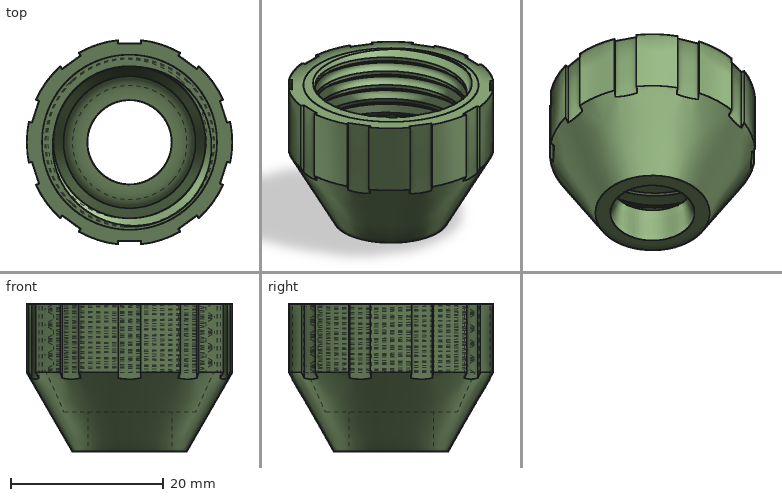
import cadquery as cq
import math

OUTER_RADIUS = 27 / 2
TOTAL_HEIGHT = 19.39
BARREL_HEIGHT = 9.0
TIP_RADIUS = 7.5
OUTLET_RADIUS = 11.05 / 2

CAVITY_TOP_RADIUS = 11.0
CAVITY_FLOOR_RADIUS = 8.67
FLOOR_Z = 5.25

NOTCH_COUNT = 10
NOTCH_WIDTH = 3.0
NOTCH_DEPTH = 0.5

INSERT_RADIUS = 23.0 / 2
THREAD_MINOR_RADIUS = 10
THREAD_MAJOR_RADIUS = 11.12
THREAD_PITCH = 2.0
ROOT_FLAT = 0.15
CREST_FLAT = 0.49
THREAD_ANGLE = -55

SHOULDER_Z = TOTAL_HEIGHT - BARREL_HEIGHT


def make_housing():
    """Nut body: barrel over a cone, hollowed for the insert, the cavity and the outlet."""
    body = (
        cq.Workplane("XZ")
        .moveTo(OUTLET_RADIUS, 0)
        .lineTo(TIP_RADIUS, 0)
        .lineTo(OUTER_RADIUS, SHOULDER_Z)
        .lineTo(OUTER_RADIUS, TOTAL_HEIGHT)
        .lineTo(INSERT_RADIUS, TOTAL_HEIGHT)
        .lineTo(INSERT_RADIUS, SHOULDER_Z)
        .lineTo(CAVITY_TOP_RADIUS, SHOULDER_Z)
        .lineTo(CAVITY_FLOOR_RADIUS, FLOOR_Z)
        .lineTo(OUTLET_RADIUS, FLOOR_Z)
        .close()
        .revolve(360, (0, 0, 0), (0, 1, 0))
    )
    notch = (
        cq.Workplane("XY")
        .box(2 * NOTCH_DEPTH, NOTCH_WIDTH, TOTAL_HEIGHT, centered=(True, True, False))
        .translate((OUTER_RADIUS, 0, 0))
    )
    for i in range(NOTCH_COUNT):
        angle = 90 + i * 360 / NOTCH_COUNT
        body = body.cut(notch.rotate((0, 0, 0), (0, 0, 1), angle))
    return body


def make_thread_groove():
    """Helical V groove, long enough to run out through both ends of the insert."""
    clearance = 0.14
    mouth_half = (THREAD_PITCH - CREST_FLAT) / 2
    root_half = ROOT_FLAT / 2
    flank_slope = (mouth_half - root_half) / (THREAD_MAJOR_RADIUS - THREAD_MINOR_RADIUS)
    inner_half = mouth_half + clearance * flank_slope
    inner_radius = THREAD_MINOR_RADIUS - clearance
    runout_turns = 1
    turns = math.ceil(BARREL_HEIGHT / THREAD_PITCH) + 2 * runout_turns
    length = turns * THREAD_PITCH
    helix = cq.Wire.makeHelix(THREAD_PITCH, length, THREAD_MINOR_RADIUS)
    groove = (
        cq.Workplane("XZ")
        .moveTo(inner_radius, -inner_half)
        .lineTo(THREAD_MAJOR_RADIUS, -root_half)
        .lineTo(THREAD_MAJOR_RADIUS, root_half)
        .lineTo(inner_radius, inner_half)
        .close()
        .sweep(cq.Workplane(helix), isFrenet=True)
    )
    start_z = TOTAL_HEIGHT + runout_turns * THREAD_PITCH - length
    return groove.rotate((0, 0, 0), (0, 0, 1), THREAD_ANGLE).translate((0, 0, start_z))


def make_insert():
    """Ring with an internal thread, flush with the top of the housing."""
    ring = (
        cq.Workplane("XY", origin=(0, 0, SHOULDER_Z))
        .circle(INSERT_RADIUS)
        .circle(THREAD_MINOR_RADIUS)
        .extrude(BARREL_HEIGHT)
        .rotate((0, 0, 0), (0, 0, 1), 180)
    )
    return ring.cut(make_thread_groove())


housing = make_housing()
threaded_insert = make_insert()

result = cq.Compound.makeCompound([housing.val(), threaded_insert.val()])